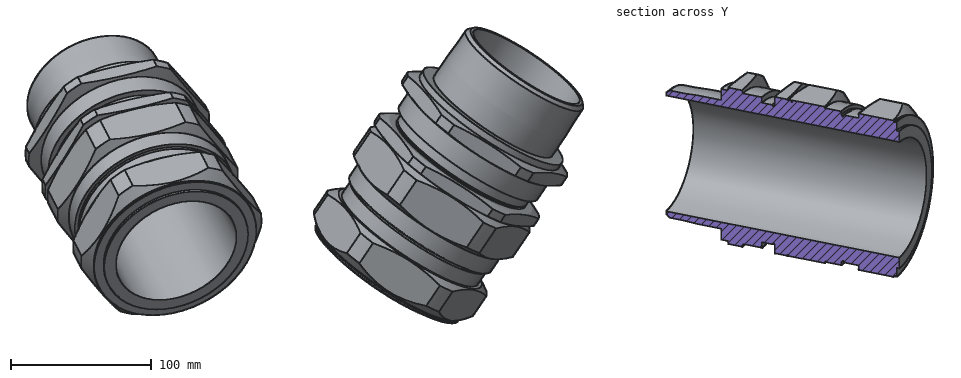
import cadquery as cq
import math


LENGTH = 183.1
TIP_CHAMFER_END = 2.7
TAPER_END = 25.5
FLANGE_START = 43.2
NECK_START = 75.5
NECK_GROOVE_START = 83.3
NECK_GROOVE_BOTTOM = 84.5
RING_GROOVE_START = 137.7
RING_GROOVE_BOTTOM = 138.6
RING_GROOVE_END = 139.9
CAP_GROOVE_END = 179.6
CAP_END = 181.0

BORE_RADIUS = 45.2
TIP_RADIUS = 47.6
SPIGOT_START_RADIUS = 50.2
SPIGOT_RADIUS = 50.7
FLANGE_RADIUS = 59.3
NECK_RADIUS = 55.0
NECK_GROOVE_RADIUS = 53.8
WIDE_RING_RADIUS = 60.6
NARROW_RING_RADIUS = 58.0
RING_GROOVE_RADIUS = 56.8
CAP_RADIUS = 61.0
CAP_GROOVE_RADIUS = 60.5
END_LIP_RADIUS = 54.0

NUT_SIDES = 6
NUT_FLATS = 123.0
NUT_CORNERS = NUT_FLATS / math.cos(math.pi / NUT_SIDES)
NUT_CORNER_RADIUS = 67.7
NUT_FACE_RADIUS = 60.8
CAP_NUT_TURN = 0.55

LOCKNUT = (48.2, 50.5, 58.0, 60.5)
ENTRY_NUT = (85.1, 87.2, 93.7, 95.4)
BODY_NUT = (95.4, 99.0, 120.8, 124.9)
CAP_NUT = (150.9, 154.7, 172.5, 179.0)


def revolve_about_x(outline):
    """Turn a closed (x, radius) outline about the X axis."""
    return cq.Workplane("XY").polyline(outline).close().revolve(360, (0, 0, 0), (1, 0, 0))


def make_nut(stations, face_radius=NUT_FACE_RADIUS, turn=0.0):
    """Hexagonal prism trimmed by a cylinder with a cone at each end."""
    start, front_edge, rear_edge, end = stations
    hexagon = (
        cq.Workplane("YZ", origin=(start, 0, 0))
        .polygon(NUT_SIDES, NUT_CORNERS)
        .extrude(end - start)
        .rotate((0, 0, 0), (1, 0, 0), turn)
    )
    envelope = revolve_about_x([
        (start, 0),
        (start, face_radius),
        (front_edge, NUT_CORNER_RADIUS),
        (rear_edge, NUT_CORNER_RADIUS),
        (end, face_radius),
        (end, 0),
    ])
    return hexagon.intersect(envelope)


def make_turned_body():
    """Solid of revolution with every round step, taper and groove."""
    return revolve_about_x([
        (0, 0),
        (0, TIP_RADIUS),
        (TIP_CHAMFER_END, SPIGOT_START_RADIUS),
        (TAPER_END, SPIGOT_RADIUS),
        (FLANGE_START, SPIGOT_RADIUS),
        (FLANGE_START, FLANGE_RADIUS),
        (NECK_START, FLANGE_RADIUS),
        (NECK_START, NECK_RADIUS),
        (NECK_GROOVE_START, NECK_RADIUS),
        (NECK_GROOVE_BOTTOM, NECK_GROOVE_RADIUS),
        (ENTRY_NUT[0], NECK_RADIUS),
        (BODY_NUT[0], NECK_RADIUS),
        (BODY_NUT[0], WIDE_RING_RADIUS),
        (RING_GROOVE_START, WIDE_RING_RADIUS),
        (RING_GROOVE_START, NARROW_RING_RADIUS),
        (RING_GROOVE_BOTTOM, RING_GROOVE_RADIUS),
        (RING_GROOVE_END, NARROW_RING_RADIUS),
        (CAP_NUT[1], NARROW_RING_RADIUS),
        (CAP_NUT[1], CAP_GROOVE_RADIUS),
        (CAP_GROOVE_END, CAP_GROOVE_RADIUS),
        (CAP_GROOVE_END, CAP_RADIUS),
        (CAP_END, CAP_RADIUS),
        (CAP_END, END_LIP_RADIUS),
        (LENGTH, END_LIP_RADIUS),
        (LENGTH, 0),
    ])


solid_body = make_turned_body()
solid_body = solid_body.union(make_nut(LOCKNUT, face_radius=FLANGE_RADIUS))
for nut_stations in (ENTRY_NUT, BODY_NUT):
    solid_body = solid_body.union(make_nut(nut_stations))
solid_body = solid_body.union(make_nut(CAP_NUT, turn=CAP_NUT_TURN))

bore = cq.Workplane("YZ").circle(BORE_RADIUS).extrude(LENGTH)
result = solid_body.cut(bore)